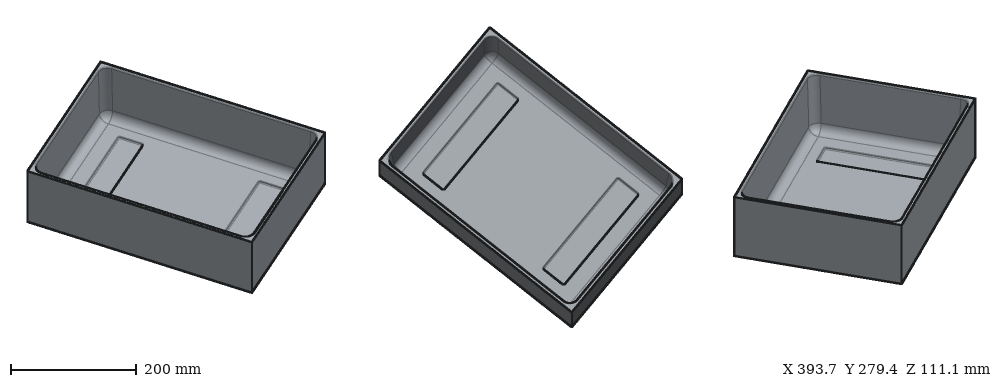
import cadquery as cq

length = 393.7
width = 279.4
height = 111.125

rim_width = 6.35
floor_thickness = 6.35
draft_angle = 2.0
basin_radius = 15.875
rim_radius = 1.5875

recess_length = 190.5
recess_width = 43.2
recess_depth = 3.0
recess_spacing = 246.2
recess_corner_radius = 3.175
recess_floor_radius = 1.5875
recess_edge_radius = 1.2


def tray_block():
    """Plain rectangular block."""
    return cq.Workplane("XY").box(length, width, height, centered=(True, True, False))


def basin_cutter():
    """Drafted basin with its upright corners and floor edges rounded."""
    return (
        cq.Workplane("XY", origin=(0, 0, height))
        .rect(length - 2 * rim_width, width - 2 * rim_width)
        .extrude(floor_thickness - height, taper=draft_angle)
        .edges("not(|X or |Y)")
        .fillet(basin_radius)
        .faces("<Z")
        .edges()
        .fillet(basin_radius)
    )


def round_basin_rim(tray):
    """Round the inner edge of the top rim."""
    inner_wire = tray.faces(">Z").val().innerWires()[0]
    return tray.newObject([tray.val().fillet(rim_radius, inner_wire.Edges())])


def recess_cutter(center_x):
    """Shallow recess with rounded corners and rounded floor edges."""
    return (
        cq.Workplane("XY", origin=(center_x, 0, floor_thickness))
        .rect(recess_width, recess_length)
        .extrude(-recess_depth)
        .edges("|Z")
        .fillet(recess_corner_radius)
        .faces("<Z")
        .edges()
        .fillet(recess_floor_radius)
    )


def round_recess_edges(tray):
    """Round the edges where the recesses open into the basin floor."""
    floor_center = (0, 0, floor_thickness)
    basin_floor = tray.faces(cq.NearestToPointSelector(floor_center)).val()
    opening_edges = [edge for wire in basin_floor.innerWires() for edge in wire.Edges()]
    return tray.newObject([tray.val().fillet(recess_edge_radius, opening_edges)])


result = round_basin_rim(tray_block().cut(basin_cutter()))
for side in (-1, 1):
    result = result.cut(recess_cutter(side * recess_spacing / 2))
result = round_recess_edges(result)